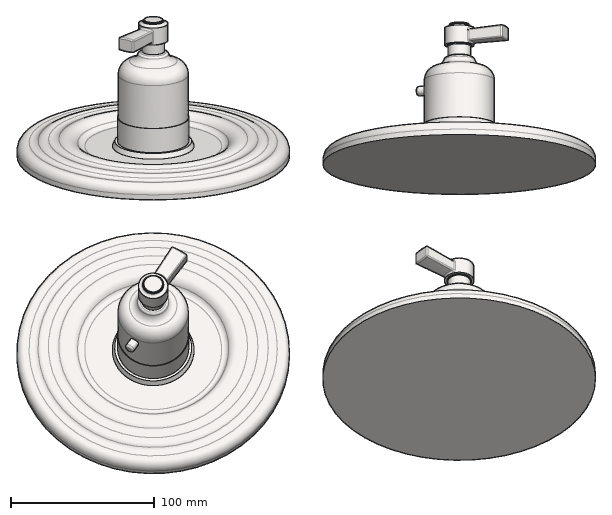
import cadquery as cq
import math

PLATE_RADIUS = 95.2
RIM_HEIGHT = 3.8
FLOOR_RADIUS = 47.8
RIPPLE_JOINTS = [
    (86.7, -18),
    (80.4, 37),
    (73.2, -22),
    (66.0, 30),
    (52.8, -54),
    (FLOOR_RADIUS, 0),
]

FOOT_RADIUS = 28.5
FOOT_TOP_RADIUS = 26.9
FOOT_HEIGHT = 3.6

SLEEVE_RADIUS = 25.0
SLEEVE_TOP = 28.5
BODY_RADIUS = 24.5
BODY_TOP = 60.2
SHOULDER_RADIUS = 16.5
SHOULDER_TOP = 70.0
LIP_RADIUS = 10.9
LIP_BOTTOM = 75.0
LIP_TOP_RADIUS = 9.1
LIP_TOP = 76.5

SPINDLE_RADIUS = 4.5
STEM_RADIUS = 8.0
STEM_BOTTOM = 77.3
HUB_RADIUS = 10.3
HUB_BOTTOM = 85.3
HUB_TOP = 97.7
COLLAR_RADIUS = 8.5
COLLAR_HEIGHT = 0.8
COVE_OUTER_RADIUS = 10.0
COVE_INNER_RADIUS = 7.5
CAP_RADIUS = 6.9
CAP_BOTTOM = 99.5
CAP_TOP = 100.5
CAP_EDGE = 0.4

LEVER_REACH = 34.9
LEVER_BOTTOM = 86.5
LEVER_ROOT_TOP = 95.8
LEVER_TIP_TOP = 96.5
LEVER_ROOT_WIDTH = 10.7
LEVER_TIP_WIDTH = 12.5
LEVER_ROOT_REACH = 7.6
LEVER_CROWN = 0.5
LEVER_EDGE = 1.0
LEVER_ROOT_FILLET = 1.1

PIN_RADIUS = 3.5
PIN_REACH = 31.8
PIN_HEIGHT = 55.0
PIN_END_ROUND = 1.7


def revolve_profile(profile):
    """Turn a closed (radius, height) outline about the Z axis."""
    return profile.close().revolve(360, (0, 0, 0), (0, 1, 0))


def ripple_points():
    """Joints of the plate's top as (radius, height); an arc's chord has the mean of its end slopes."""
    points = []
    radius, height, slope = PLATE_RADIUS, RIM_HEIGHT, 90
    for next_radius, next_slope in RIPPLE_JOINTS:
        chord_slope = math.radians((slope + next_slope) / 2)
        height += (radius - next_radius) * math.tan(chord_slope)
        points.append((next_radius, height))
        radius, slope = next_radius, next_slope
    return points


RIPPLES = ripple_points()
FLOOR_HEIGHT = RIPPLES[-1][1]


def make_plate():
    profile = cq.Workplane("XZ").lineTo(PLATE_RADIUS, 0).lineTo(PLATE_RADIUS, RIM_HEIGHT)
    for point in RIPPLES:
        profile = profile.tangentArcPoint(point, relative=False)
    return revolve_profile(profile.lineTo(0, FLOOR_HEIGHT))


def make_body():
    foot_top = FLOOR_HEIGHT + FOOT_HEIGHT
    profile = (
        cq.Workplane("XZ")
        .lineTo(FOOT_RADIUS, 0)
        .lineTo(FOOT_RADIUS, FLOOR_HEIGHT)
        .lineTo(FOOT_TOP_RADIUS, foot_top)
        .lineTo(SLEEVE_RADIUS, foot_top)
        .lineTo(SLEEVE_RADIUS, SLEEVE_TOP)
        .lineTo(BODY_RADIUS, SLEEVE_TOP)
        .lineTo(BODY_RADIUS, BODY_TOP)
        .tangentArcPoint((SHOULDER_RADIUS, SHOULDER_TOP), relative=False)
        .tangentArcPoint((LIP_RADIUS, LIP_BOTTOM), relative=False)
        .tangentArcPoint((LIP_TOP_RADIUS, LIP_TOP), relative=False)
        .lineTo(0, LIP_TOP)
    )
    return revolve_profile(profile)


def make_hub():
    profile = (
        cq.Workplane("XZ")
        .moveTo(0, BODY_TOP)
        .lineTo(SPINDLE_RADIUS, BODY_TOP)
        .lineTo(SPINDLE_RADIUS, STEM_BOTTOM)
        .lineTo(STEM_RADIUS, STEM_BOTTOM)
        .lineTo(STEM_RADIUS, HUB_BOTTOM - COLLAR_HEIGHT)
        .lineTo(COLLAR_RADIUS, HUB_BOTTOM - COLLAR_HEIGHT)
        .lineTo(COLLAR_RADIUS, HUB_BOTTOM)
        .lineTo(HUB_RADIUS, HUB_BOTTOM)
        .lineTo(HUB_RADIUS, HUB_TOP)
        .lineTo(COVE_OUTER_RADIUS, HUB_TOP)
        .tangentArcPoint((COVE_INNER_RADIUS, CAP_BOTTOM), relative=False)
        .lineTo(CAP_RADIUS, CAP_BOTTOM)
        .lineTo(CAP_RADIUS, CAP_TOP - CAP_EDGE)
        .lineTo(CAP_RADIUS - CAP_EDGE, CAP_TOP)
        .lineTo(0, CAP_TOP)
    )
    return revolve_profile(profile)


def lever_section(width, top, reach):
    """Cross-section of the lever at a distance from the axis, with crowned top and bottom."""
    side = width / 2
    upper = top - LEVER_CROWN
    lower = LEVER_BOTTOM + LEVER_CROWN
    outline = (
        cq.Workplane("XZ", origin=(0, -reach, 0))
        .moveTo(-side, lower)
        .threePointArc((0, LEVER_BOTTOM), (side, lower))
        .lineTo(side, upper)
        .threePointArc((0, top), (-side, upper))
        .close()
    )
    return outline.wires().val()


def make_lever():
    root = lever_section(LEVER_ROOT_WIDTH, LEVER_ROOT_TOP, LEVER_ROOT_REACH)
    tip = lever_section(LEVER_TIP_WIDTH, LEVER_TIP_TOP, LEVER_REACH)
    lever = cq.Workplane(cq.Solid.makeLoft([root, tip], True))
    return lever.edges("not >Y").fillet(LEVER_EDGE)


def make_handle():
    """Hub and lever with a small fillet where they meet."""
    handle = make_hub().union(make_lever())
    half_width = LEVER_ROOT_WIDTH / 2 + LEVER_ROOT_FILLET
    joint = cq.selectors.BoxSelector(
        (-half_width, -HUB_RADIUS - LEVER_ROOT_FILLET / 2, HUB_BOTTOM + LEVER_ROOT_FILLET / 2),
        (half_width, -LEVER_ROOT_REACH, HUB_TOP - LEVER_ROOT_FILLET / 2),
        boundingbox=True,
    )
    return handle.edges(joint).fillet(LEVER_ROOT_FILLET)


def make_pin():
    pin = cq.Workplane("XZ", origin=(0, 0, PIN_HEIGHT)).circle(PIN_RADIUS).extrude(-PIN_REACH)
    return pin.faces(">Y").edges().fillet(PIN_END_ROUND)


result = make_plate().union(make_body()).union(make_pin()).union(make_handle())